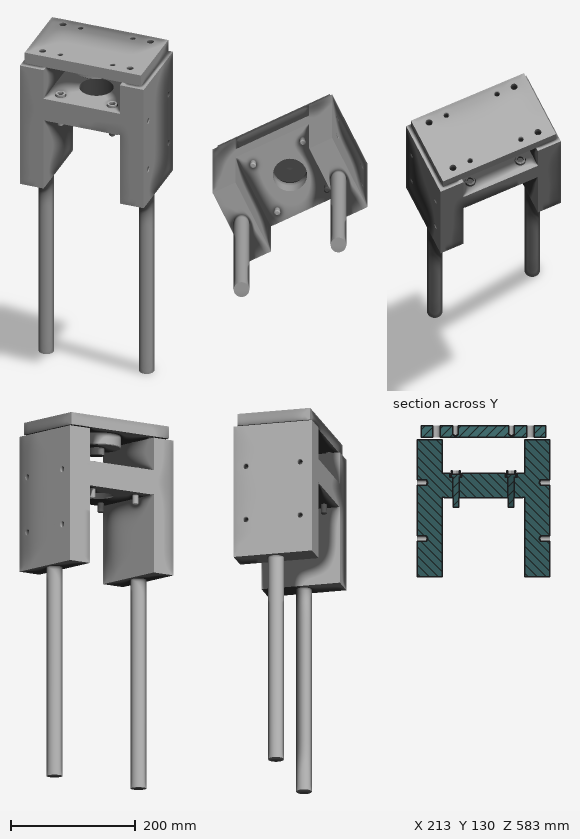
import cadquery as cq

TOTAL_HEIGHT = 583.0

PLATE_X = 200.0
PLATE_Y = 120.5
PLATE_THICKNESS = 20.0
ROD_DIAMETER = 25.0
ROD_X = 86.0
BOSS_DIAMETER = 78.0
BOSS_HEIGHT = 19.0
BOSS_CHAMFER = 1.0
SPIGOT_DIAMETER = 25.0
SPIGOT_HEIGHT = 11.5

FRAME_X = 213.0
FRAME_Y = 130.0
FRAME_HEIGHT = 220.0
FRAME_GAP = 3.1
ARM_WIDTH = 41.0
BRIDGE_DROP = 53.0
BRIDGE_THICKNESS = 40.0
BRIDGE_BORE_DIAMETER = 55.0
RELIEF_WIDTH = 3.0
RELIEF_DEPTH = 1.0

BOLT_OFFSET = 45.0
SCREW_OFFSET = 44.5
CLEARANCE_HOLE_X = 75.0
CLEARANCE_DIAMETER = 11.0

MOUTH_DIAMETER = 10.0
CORE_DIAMETER = 8.0
MOUTH_DEPTH = (MOUTH_DIAMETER - CORE_DIAMETER) / 2
CORE_DEPTH = 14.5
CORE_TIP = 2.5
SIDE_HOLE_DROP = 69.0

HEAD_DIAMETER = 16.0
HEAD_HEIGHT = 10.0
COUNTERBORE_DIAMETER = 18.0
HEAD_PROTRUSION = 3.5
SOCKET_WIDTH = 10.0
SOCKET_DEPTH = 5.0
SHANK_DIAMETER = 10.0
SHANK_PROTRUSION = 16.0
SHANK_CHAMFER = 2.0


def square_corners(offset):
    """The four (x, y) corners of a centred square with the given half side."""
    return [(x, y) for x in (-offset, offset) for y in (-offset, offset)]


plate_bottom = TOTAL_HEIGHT - PLATE_THICKNESS
frame_top = plate_bottom - FRAME_GAP
frame_bottom = frame_top - FRAME_HEIGHT
bridge_top = frame_top - BRIDGE_DROP
bridge_bottom = bridge_top - BRIDGE_THICKNESS
head_top = bridge_top + HEAD_PROTRUSION
head_bottom = head_top - HEAD_HEIGHT
bolt_pitch = 2 * BOLT_OFFSET
bolt_points = square_corners(BOLT_OFFSET)
screw_points = square_corners(SCREW_OFFSET)


def cylinder(diameter, bottom, top, x=0, y=0):
    """Vertical cylinder between two heights."""
    return cq.Workplane("XY", origin=(x, y, bottom)).circle(diameter / 2).extrude(top - bottom)


def full_depth_block(x, width, bottom, top):
    """Block spanning the whole depth of the frame, centred at x."""
    return cq.Workplane("XY", origin=(x, 0, bottom)).rect(width, FRAME_Y).extrude(top - bottom)


def tapped_hole(point, direction):
    """Cutter for a countersunk blind hole with a conical drill tip, entering along direction."""
    inward = cq.Vector(*direction)
    radial = cq.Vector(0, 1, 0)
    profile_plane = cq.Plane(origin=point, xDir=radial, normal=inward.cross(radial))
    return (
        cq.Workplane(profile_plane)
        .lineTo(MOUTH_DIAMETER / 2, 0)
        .lineTo(CORE_DIAMETER / 2, -MOUTH_DEPTH)
        .lineTo(CORE_DIAMETER / 2, -CORE_DEPTH)
        .lineTo(0, -CORE_DEPTH - CORE_TIP)
        .close()
        .revolve(360, (0, 0, 0), (0, 1, 0))
    )


def make_carriage():
    """Top plate carrying two guide rods and the stepped coupling boss."""
    body = cq.Workplane("XY", origin=(0, 0, plate_bottom)).rect(PLATE_X, PLATE_Y).extrude(PLATE_THICKNESS)
    for x in (-ROD_X, ROD_X):
        body = body.union(cylinder(ROD_DIAMETER, 0, plate_bottom, x))
    boss_bottom = plate_bottom - BOSS_HEIGHT
    boss = cylinder(BOSS_DIAMETER, boss_bottom, plate_bottom).faces("<Z").chamfer(BOSS_CHAMFER)
    body = body.union(boss).union(cylinder(SPIGOT_DIAMETER, boss_bottom - SPIGOT_HEIGHT, boss_bottom))
    for x in (-CLEARANCE_HOLE_X, CLEARANCE_HOLE_X):
        for y in (-BOLT_OFFSET, BOLT_OFFSET):
            body = body.cut(cylinder(CLEARANCE_DIAMETER, plate_bottom, TOTAL_HEIGHT, x, y))
    for x, y in bolt_points:
        body = body.cut(tapped_hole((x, y, TOTAL_HEIGHT), (0, 0, -1)))
    return body


def make_screw(x, y):
    """Socket-head screw standing in the bridge, head upwards."""
    shank_end = bridge_bottom - SHANK_PROTRUSION
    shank = cylinder(SHANK_DIAMETER, shank_end, head_bottom, x, y).faces("<Z").chamfer(SHANK_CHAMFER)
    socket = (
        cq.Workplane("XY", origin=(x, y, head_top))
        .polygon(6, SOCKET_WIDTH, circumscribed=True)
        .extrude(-SOCKET_DEPTH)
    )
    head = cylinder(HEAD_DIAMETER, head_bottom, head_top, x, y)
    return shank.union(head).cut(socket)


def make_frame():
    """H-shaped frame bored for the rods and the screws, with tapped holes in its outer sides."""
    opening = FRAME_X - 2 * ARM_WIDTH
    body = full_depth_block(0, FRAME_X, frame_bottom, frame_top)
    body = body.cut(full_depth_block(0, opening, bridge_top, frame_top))
    body = body.cut(full_depth_block(0, opening, frame_bottom, bridge_bottom))
    body = body.cut(cylinder(BRIDGE_BORE_DIAMETER, bridge_bottom, bridge_top))
    relief_top = bridge_bottom + RELIEF_DEPTH
    for side in (-1, 1):
        relief_x = side * (opening - RELIEF_WIDTH) / 2
        body = body.cut(full_depth_block(relief_x, RELIEF_WIDTH, bridge_bottom, relief_top))
        body = body.cut(cylinder(ROD_DIAMETER, frame_bottom, frame_top, side * ROD_X))
    for x, y in screw_points:
        body = body.cut(cylinder(SHANK_DIAMETER, bridge_bottom, bridge_top, x, y))
        body = body.cut(cylinder(COUNTERBORE_DIAMETER, head_bottom, bridge_top, x, y))
    upper_hole_z = frame_top - SIDE_HOLE_DROP
    for side in (-1, 1):
        for y in (-BOLT_OFFSET, BOLT_OFFSET):
            for z in (upper_hole_z, upper_hole_z - bolt_pitch):
                body = body.cut(tapped_hole((side * FRAME_X / 2, y, z), (-side, 0, 0)))
    return body


carriage = make_carriage()
frame = make_frame()
screws = [make_screw(x, y) for x, y in screw_points]

result = cq.Compound.makeCompound([carriage.val(), frame.val(), *[screw.val() for screw in screws]])